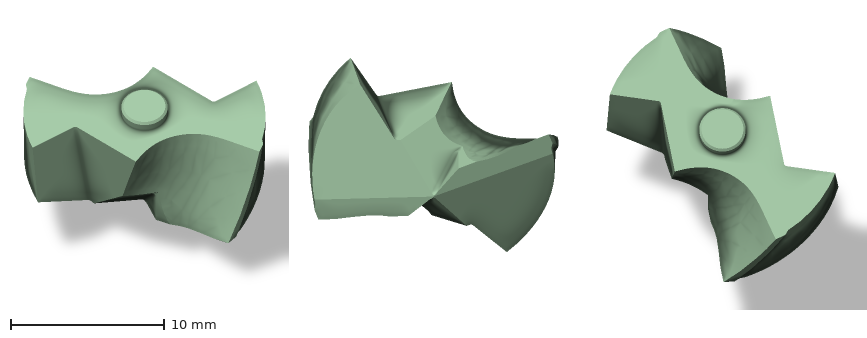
import cadquery as cq
import math

body_height = 8.63
total_height = 9.48
margin_radius = 8.13
reach = 32.52

twist_rate = 4.207
twist = twist_rate * body_height

margin_start = 14.4
margin_end = 19.3
step_end = 21.8
clearance_middle = 55.0
clearance_end = 104.0
clearance_radius_start = 7.95
clearance_radius_middle = 7.84
clearance_radius_end = 7.82
flute_points = [(-2.0, 3.56), (-1.97, 2.35), (-2.15, 1.38), (-2.73, 0.23), (-3.84, -0.81), (-6.28, -1.66)]

flat_offset = 3.55
notch_corner_x = -2.96
notch_top_slope = 0.352
notch_height_slope = -0.18
notch_fillet = 0.2

lip_slope = -0.35
heel_slope = -0.394
relief_slope = -0.05
gash_slope_x = 1.05
gash_slope_y = -0.96
chisel_slope = 0.69
gash_fillet = 0.25
lip_offset = 1.32
lip_lean = 0.019

boss_radius = 1.51
boss_edge = 0.15


def polar(radius, degrees):
    angle = math.radians(degrees)
    return (radius * math.cos(angle), radius * math.sin(angle))


def opposite(point):
    return (-point[0], -point[1])


def half_turn(solid):
    return solid.rotate((0, 0, 0), (0, 0, 1), 180)


def block_behind(normal, origin=(0, 0, 0)):
    """Large block on the side of a plane that its normal points away from."""
    plane = cq.Plane(origin=origin, normal=normal)
    return cq.Workplane(plane).rect(2 * reach, 2 * reach).extrude(-reach)


def below(slope_x, slope_y):
    """Block below the plane z = slope_x * x + slope_y * y."""
    return block_behind((-slope_x, -slope_y, 1))


def fillet_root(cutter, direction, near_point, radius):
    """Round the cutter edge that runs along a direction and passes near a point."""
    parallel_edges = cutter.edges(cq.selectors.ParallelDirSelector(direction))
    return parallel_edges.edges(cq.selectors.NearestToPointSelector(near_point)).fillet(radius)


def add_lobe(sketch, place):
    """Margin, step, clearance and following flute of one lobe."""
    margin_middle = (margin_start + margin_end) / 2
    flute_end = opposite(polar(margin_radius, margin_start))
    return (
        sketch
        .threePointArc(place(polar(margin_radius, margin_middle)), place(polar(margin_radius, margin_end)))
        .lineTo(*place(polar(clearance_radius_start, step_end)))
        .threePointArc(
            place(polar(clearance_radius_middle, clearance_middle)),
            place(polar(clearance_radius_end, clearance_end)),
        )
        .lineTo(*place(flute_points[0]))
        .spline([place(p) for p in flute_points[1:] + [flute_end]], includeCurrent=True)
    )


def twisted_blank():
    start = polar(margin_radius, margin_start)
    sketch = cq.Workplane("XY").transformed(rotate=(0, 0, -twist)).moveTo(*start)
    sketch = add_lobe(sketch, lambda p: p)
    sketch = add_lobe(sketch, opposite)
    return sketch.close().twistExtrude(body_height, twist)


def heel_notch():
    """Space outside the flat and ahead of the sloping heel face."""
    corner = (notch_corner_x, -flat_offset, body_height)
    outside_flat = block_behind((0, 1, 0), corner)
    ahead_of_heel = block_behind((-1, notch_top_slope, notch_height_slope), corner)
    root_direction = cq.Vector(0, 1, 0).cross(cq.Vector(-1, notch_top_slope, notch_height_slope))
    notch = outside_flat.intersect(ahead_of_heel)
    return fillet_root(notch, root_direction, corner, notch_fillet)


def point_cutters():
    """Gash, heel, relief and lip cuts made from the -X side of the point."""
    lobe_side = block_behind((chisel_slope, 1, 0))
    root_direction = cq.Vector(-gash_slope_x, -gash_slope_y, 1).cross(cq.Vector(chisel_slope, 1, 0))
    below_gash = below(gash_slope_x, gash_slope_y)
    gash = below_gash.intersect(lobe_side)
    gash = fillet_root(gash, root_direction, (0, 0, 0), gash_fillet)
    heel = below(lip_slope, heel_slope).intersect(lobe_side)
    relief = below(lip_slope, relief_slope).intersect(lobe_side)
    lip_trim = below_gash.intersect(block_behind((lip_lean, 1, 0), (0, -lip_offset, 0)))
    return [gash, heel, relief, lip_trim]


def locating_boss():
    height = total_height - body_height
    foot_radius = boss_radius + boss_edge
    arc_offset = boss_edge * (1 - math.sqrt(0.5))
    return (
        cq.Workplane("XZ", origin=(0, 0, body_height))
        .moveTo(0, -boss_edge)
        .lineTo(foot_radius, -boss_edge)
        .lineTo(foot_radius, 0)
        .threePointArc((boss_radius + arc_offset, arc_offset), (boss_radius, boss_edge))
        .lineTo(boss_radius, height - boss_edge)
        .lineTo(boss_radius - boss_edge, height)
        .lineTo(0, height)
        .close()
        .revolve(360, (0, 0, 0), (0, 1, 0))
    )


result = twisted_blank()
for cutter in [heel_notch()] + point_cutters():
    result = result.cut(cutter).cut(half_turn(cutter))
result = result.union(locating_boss())